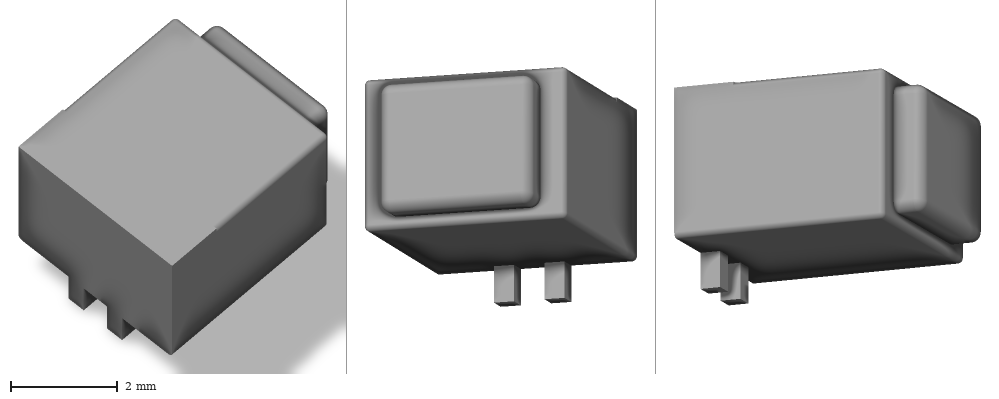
import cadquery as cq

housing_width = 4.0
total_length = 4.85
total_height = 3.6
pin_length = 0.7
boss_length = 0.6
housing_length = total_length - boss_length
housing_height = total_height - pin_length
housing_fillet = 0.1

boss_width = 3.0
boss_height = 2.45
boss_fillet = 0.2

corner_width = 0.5
corner_length = 1.205
corner_height = 1.5

pin_side = 0.4
pin_spacing = 1.0


def make_corner_block(side):
    """Sharp-edged block in an upper front corner; side is -1 or +1 along X."""
    center_x = side * (housing_width - corner_width) / 2
    return (
        cq.Workplane("XY")
        .box(corner_width, corner_length, corner_height, centered=(True, False, False))
        .translate((center_x, 0, housing_height - corner_height))
    )


def make_boss():
    """Boss with rounded long edges and a rounded rear rim, centred on the rear face."""
    return (
        cq.Workplane("XY")
        .box(boss_width, boss_length, boss_height, centered=(True, False, True))
        .edges("|Y or >Y")
        .fillet(boss_fillet)
        .translate((0, housing_length, housing_height / 2))
    )


def make_housing(corner_blocks):
    """Rounded housing with its boss, notched to seat the corner blocks."""
    housing = (
        cq.Workplane("XY")
        .box(housing_width, housing_length, housing_height, centered=(True, False, False))
        .edges("|Y or >Y")
        .fillet(housing_fillet)
        .union(make_boss())
    )
    for block in corner_blocks:
        housing = housing.cut(block)
    return housing


def make_pin(side):
    """Pin hanging from the underside, flush with the front face."""
    return (
        cq.Workplane("XY")
        .box(pin_side, pin_side, pin_length, centered=(True, False, False))
        .translate((side * pin_spacing / 2, 0, -pin_length))
    )


sides = (-1, 1)
corner_blocks = [make_corner_block(side) for side in sides]
pins = [make_pin(side) for side in sides]
housing = make_housing(corner_blocks)

result = cq.Compound.makeCompound(
    [housing.val()]
    + [block.val() for block in corner_blocks]
    + [pin.val() for pin in pins]
)